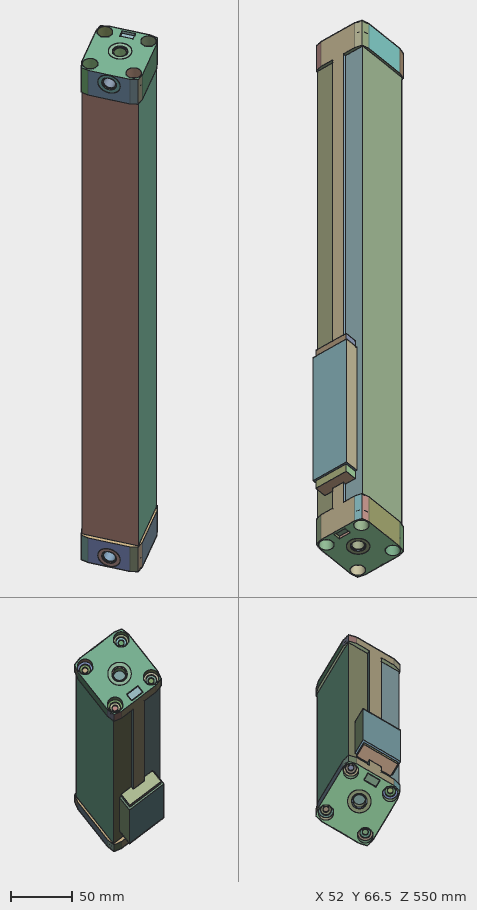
import cadquery as cq

LENGTH = 550.0

CAP_LENGTH = 27.5
CAP_WIDTH = 52.0
CAP_BACK = 26.0
CAP_FRONT = -30.0
CORNER_RUN = 8.0
CORNER_DROP = 1.5

BARREL_WIDTH = 48.5
BARREL_BACK = 23.0
BARREL_FRONT = -27.0
BAND_BACK = CAP_BACK

PORT_SEAT_DIAMETER = 19.0
PORT_SEAT_DEPTH = 0.3
PORT_DIAMETER = 12.5
PORT_DEPTH = 1.5
PORT_BORE_DIAMETER = 10.5
PORT_BORE_DEPTH = 14.0
SIDE_PORT_FROM_END = 10.5

SCREW_X = 18.5
SCREW_BACK = 18.0
SCREW_FRONT = -22.0
WELL_DIAMETER = 12.5
WELL_DEPTH = 11.0
SCREW_HOLE_DIAMETER = 9.0
SCREW_HOLE_DEPTH = 14.0
SCREW_TIP_DIAMETER = 4.9
SCREW_TIP_DEPTH = 16.5

BAND_WIDTH = 11.5
POCKET_HEIGHT = 6.5
POCKET_BACK = 23.5
POCKET_DEPTH = 3.0

CARRIAGE_BOTTOM = 58.0
CARRIAGE_LENGTH = 136.0
CARRIAGE_WIDTH = CAP_WIDTH - 2 * CORNER_RUN
CARRIAGE_BACK = 36.5
WIPER_LENGTH = 8.0
WIPER_INSET = 1.5


def cap_outline():
    """Points of the end cap outline, counterclockwise from the +X end of its -Y face."""
    side = CAP_WIDTH / 2
    corners = []
    for x_sign, y_sign in ((1, -1), (1, 1), (-1, 1), (-1, -1)):
        face_y = CAP_BACK if y_sign > 0 else CAP_FRONT
        on_y_face = (x_sign * (side - CORNER_RUN), face_y)
        tip = (x_sign * (side - CORNER_DROP), face_y - y_sign * CORNER_DROP)
        on_x_face = (x_sign * side, face_y - y_sign * CORNER_RUN)
        if x_sign * y_sign < 0:
            corners += [on_y_face, tip, on_x_face]
        else:
            corners += [on_x_face, tip, on_y_face]
    return corners


def stepped_hole(position, direction, steps):
    """Coaxial cylinders of (diameter, depth), all starting at one point and running along direction."""
    start = cq.Vector(*position)
    axis = cq.Vector(*direction)
    hole = cq.Workplane()
    for diameter, depth in steps:
        hole = hole.add(cq.Solid.makeCylinder(diameter / 2, depth, start, axis))
    return hole.combine()


def port(position, direction):
    return stepped_hole(position, direction, [
        (PORT_SEAT_DIAMETER, PORT_SEAT_DEPTH),
        (PORT_DIAMETER, PORT_DEPTH),
        (PORT_BORE_DIAMETER, PORT_BORE_DEPTH),
    ])


def screw_well(position, direction):
    return stepped_hole(position, direction, [
        (WELL_DIAMETER, WELL_DEPTH),
        (SCREW_HOLE_DIAMETER, SCREW_HOLE_DEPTH),
        (SCREW_TIP_DIAMETER, SCREW_TIP_DEPTH),
    ])


def band_pocket(end_z, inward):
    return (
        cq.Workplane("XY", origin=(0, POCKET_BACK - POCKET_HEIGHT / 2, end_z))
        .rect(BAND_WIDTH, POCKET_HEIGHT)
        .extrude(inward * POCKET_DEPTH)
    )


def bar(width, front_y, back_y, bottom_z, length):
    """Upright rectangular bar centred on X = 0."""
    return (
        cq.Workplane("XY", origin=(0, (front_y + back_y) / 2, bottom_z))
        .rect(width, back_y - front_y)
        .extrude(length)
    )


def band():
    return bar(BAND_WIDTH, BARREL_BACK, BAND_BACK, 0, LENGTH)


def make_housing():
    body = bar(BARREL_WIDTH, BARREL_FRONT, BARREL_BACK, 0, LENGTH).union(band())
    for end_z, inward in ((0, 1), (LENGTH, -1)):
        cap = cq.Workplane("XY", origin=(0, 0, end_z)).polyline(cap_outline()).close()
        body = body.union(cap.extrude(inward * CAP_LENGTH))

    for end_z, inward in ((0, 1), (LENGTH, -1)):
        along = (0, 0, inward)
        body = body.cut(port((0, 0, end_z), along))
        body = body.cut(port((0, CAP_FRONT, end_z + inward * SIDE_PORT_FROM_END), (0, 1, 0)))
        body = body.cut(band_pocket(end_z, inward))
        for x in (-SCREW_X, SCREW_X):
            for y in (SCREW_BACK, SCREW_FRONT):
                body = body.cut(screw_well((x, y, end_z), along))
    return body


def make_carriage():
    plate = bar(CARRIAGE_WIDTH, BARREL_BACK, CARRIAGE_BACK, CARRIAGE_BOTTOM, CARRIAGE_LENGTH)
    wipers = bar(
        CARRIAGE_WIDTH - 2 * WIPER_INSET,
        BARREL_BACK,
        CARRIAGE_BACK - WIPER_INSET,
        CARRIAGE_BOTTOM - WIPER_LENGTH,
        CARRIAGE_LENGTH + 2 * WIPER_LENGTH,
    )
    return plate.union(wipers).cut(band())


housing = make_housing()
carriage = make_carriage()

result = cq.Compound.makeCompound([housing.val(), carriage.val()])